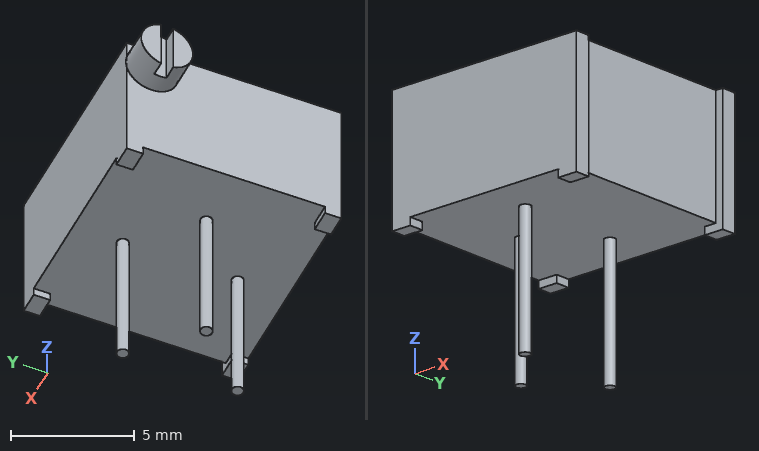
import cadquery as cq

body_length = 10.05
body_width = 9.52
body_height = 6.11
total_height = 12.18
screw_overhang = 0.04
body_top = total_height - screw_overhang
body_bottom = body_top - body_height

foot_length = 1.0
foot_width = 0.73
foot_height = 0.37
recess_depth = 0.38

screw_diameter = 2.3
screw_length = 1.5
slot_width = 0.54
slot_depth = 0.66
screw_y = body_width + screw_overhang - screw_diameter / 2
screw_z = total_height - screw_diameter / 2

pin_diameter = 0.51
pin_pitch = 2.55
middle_pin_x = 2.7
pin_top = body_bottom + foot_height


def box(x, y, z, length, width, height):
    """Box with its lowest corner at (x, y, z)."""
    return cq.Workplane("XY").box(length, width, height, centered=False).translate((x, y, z))


def make_housing():
    housing = box(0, 0, body_bottom, body_length, body_width, body_height)
    inner_length = body_length - 2 * foot_length
    inner_width = body_width - 2 * foot_width
    housing = housing.cut(box(foot_length, 0, body_bottom, inner_length, body_width, foot_height))
    housing = housing.cut(box(0, foot_width, body_bottom, body_length, inner_width, foot_height))
    recess_x = body_length - recess_depth
    return housing.cut(box(recess_x, foot_width, body_bottom, recess_depth, inner_width, body_height))


def make_screw():
    screw = (
        cq.Workplane("YZ", origin=(-screw_length, screw_y, screw_z))
        .circle(screw_diameter / 2)
        .extrude(screw_length)
    )
    slot = box(
        -screw_length, screw_y - slot_width / 2, screw_z - screw_diameter / 2,
        slot_depth, slot_width, screw_diameter,
    )
    return screw.cut(slot)


def make_pins():
    middle_y = body_width / 2
    outer_pin_x = middle_pin_x + pin_pitch
    centers = [
        (outer_pin_x, middle_y - pin_pitch),
        (middle_pin_x, middle_y),
        (outer_pin_x, middle_y + pin_pitch),
    ]
    return cq.Workplane("XY").pushPoints(centers).circle(pin_diameter / 2).extrude(pin_top)


result = make_housing().union(make_screw()).union(make_pins())